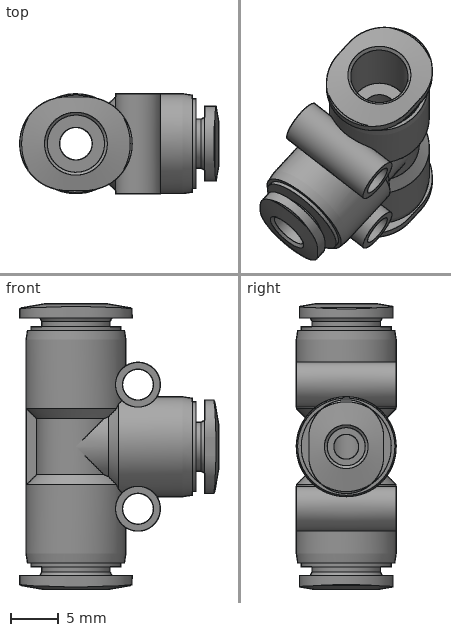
import cadquery as cq

end_reach = 15.0
body_diameter = 10.5
waist_diameter = 8.4
shoulder_height = 4.0
branch_shoulder = 4.47
taper_start = 11.22
taper_end = 12.2
taper_inset = 0.15
ring_diameter = 9.45
ring_end = 12.6

collar_base = 13.5
collar_edge = 14.45
collar_edge_inset = 0.2
collar_cone_edge = 14.58
flare_start = 13.15
flare_width = 0.18
bore_depth = 9.0
bore_chamfer = 0.3

run_collar_length = 11.82
run_collar_width = 9.85
run_neck_diameter = 7.2
run_bore_diameter = 6.0
run_passage_diameter = 3.4

branch_collar_length = 9.85
branch_collar_width = 7.85
branch_neck_diameter = 5.2
branch_bore_diameter = 4.0
branch_passage_diameter = 2.6

eyelet_x = 6.5
eyelet_z = 6.5
eyelet_diameter = 4.7
eyelet_hole_diameter = 3.2
rib_width = 1.55

body_radius = body_diameter / 2
waist_radius = waist_diameter / 2
shoulder_depth = body_radius - waist_radius


def revolve_profile(points):
    """Revolve (radius, height) points about Z."""
    return cq.Workplane("XZ").polyline(points).close().revolve(360, (0, 0), (0, 1))


def turn_to_branch(solid):
    """Swing a solid from the +Z axis onto the +X axis."""
    return solid.rotate((0, 0, 0), (0, 1, 0), 90)


def socket(shoulder, neck_diameter):
    """Waist, shoulder, tapered body, end ring and flared collar neck along +Z."""
    neck_radius = neck_diameter / 2
    return revolve_profile([
        (0, 0),
        (waist_radius, 0),
        (waist_radius, shoulder - shoulder_depth),
        (body_radius, shoulder),
        (body_radius, taper_start),
        (body_radius - taper_inset, taper_end),
        (ring_diameter / 2, taper_end),
        (ring_diameter / 2, ring_end),
        (neck_radius, ring_end),
        (neck_radius, flare_start),
        (neck_radius + flare_width, collar_base),
        (0, collar_base),
    ])


def collar(length, width, bore_diameter):
    """Round-ended plate with a shallow conical outer face and a chamfered rim."""
    half_length = length / 2
    rim_radius = bore_diameter / 2 + bore_chamfer
    plate = (
        cq.Workplane("XY", origin=(0, 0, collar_base))
        .slot2D(length, width)
        .extrude(end_reach - collar_base)
    )
    cone = revolve_profile([
        (0, collar_base),
        (half_length, collar_base),
        (half_length, collar_edge),
        (half_length - collar_edge_inset, collar_cone_edge),
        (rim_radius, end_reach),
        (0, end_reach),
    ])
    return plate.intersect(cone)


def tube_bore(bore_diameter, passage_diameter):
    """Chamfered tube bore that narrows to a passage reaching the tee centre."""
    bore_radius = bore_diameter / 2
    passage_radius = passage_diameter / 2
    bore_floor = end_reach - bore_depth
    return revolve_profile([
        (0, 0),
        (passage_radius, 0),
        (passage_radius, bore_floor),
        (bore_radius, bore_floor),
        (bore_radius, end_reach - bore_chamfer),
        (bore_radius + bore_chamfer, end_reach),
        (0, end_reach),
    ])


def back_rib():
    """Strip of the full body cylinder that bridges the waist on the -X side."""
    height = 2 * shoulder_height
    cylinder = cq.Workplane("XY").circle(body_radius).extrude(height / 2, both=True)
    strip = cq.Workplane("XY").box(body_radius, rib_width, height).translate((-body_radius / 2, 0, 0))
    return cylinder.intersect(strip)


def eyelet_cylinders(diameter):
    """Pair of cylinders along Y in the two corners of the tee."""
    return (
        cq.Workplane("XZ")
        .pushPoints([(eyelet_x, eyelet_z), (eyelet_x, -eyelet_z)])
        .circle(diameter / 2)
        .extrude(body_radius, both=True)
    )


run_end = socket(shoulder_height, run_neck_diameter).union(
    collar(run_collar_length, run_collar_width, run_bore_diameter)
)
run_bore = tube_bore(run_bore_diameter, run_passage_diameter)

branch_end = turn_to_branch(
    socket(branch_shoulder, branch_neck_diameter).union(
        collar(branch_collar_length, branch_collar_width, branch_bore_diameter)
    )
)
branch_bore = turn_to_branch(tube_bore(branch_bore_diameter, branch_passage_diameter))

result = (
    run_end
    .union(run_end.mirror("XY"))
    .union(branch_end)
    .union(back_rib())
    .union(eyelet_cylinders(eyelet_diameter))
    .cut(run_bore)
    .cut(run_bore.mirror("XY"))
    .cut(branch_bore)
    .cut(eyelet_cylinders(eyelet_hole_diameter))
)